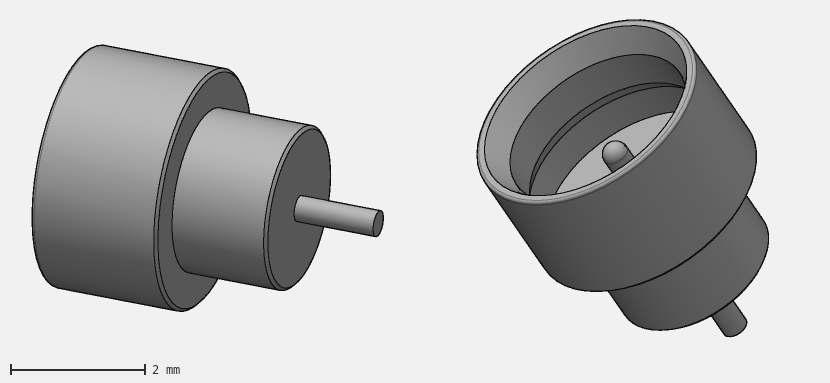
import cadquery as cq

total_length = 4.83
edge_break = 0.05

shroud_radius = 3.68 / 2
shroud_length = 2.03
barrel_radius = 1.25
barrel_end = 3.555

mouth_radius = 1.695
lip_radius = 1.475
undercut_radius = 1.595
mouth_depth = 0.395
lip_end = 1.03
flare_end = 1.245
socket_depth = 1.795

pin_radius = 0.2
pin_tip = 0.775


def make_shell():
    """Stepped outer body with a rounded front rim and chamfered rear edges."""
    shroud = cq.Workplane("YZ").circle(shroud_radius).extrude(shroud_length)
    shroud = shroud.faces("<X").edges().fillet(edge_break)
    shroud = shroud.faces(">X").edges().chamfer(edge_break)
    barrel = cq.Workplane("YZ").circle(barrel_radius).extrude(barrel_end)
    barrel = barrel.faces(">X").edges().chamfer(edge_break)
    return shroud.union(barrel)


def make_socket():
    """Volume removed from the front of the shroud."""
    profile = (
        cq.Workplane("XY")
        .lineTo(0, mouth_radius)
        .lineTo(mouth_depth, lip_radius)
        .lineTo(lip_end, lip_radius)
        .lineTo(flare_end, undercut_radius)
        .lineTo(socket_depth, undercut_radius)
        .lineTo(socket_depth, 0)
        .close()
    )
    return profile.revolve(360, (0, 0, 0), (1, 0, 0))


def make_pin():
    """Pin running from its round tip to the rear end of the part."""
    tip_center = pin_tip + pin_radius
    shaft = (
        cq.Workplane("YZ", origin=(tip_center, 0, 0))
        .circle(pin_radius)
        .extrude(total_length - tip_center)
    )
    tip = cq.Workplane("XY").sphere(pin_radius).translate((tip_center, 0, 0))
    return shaft.union(tip)


result = make_shell().cut(make_socket()).union(make_pin())